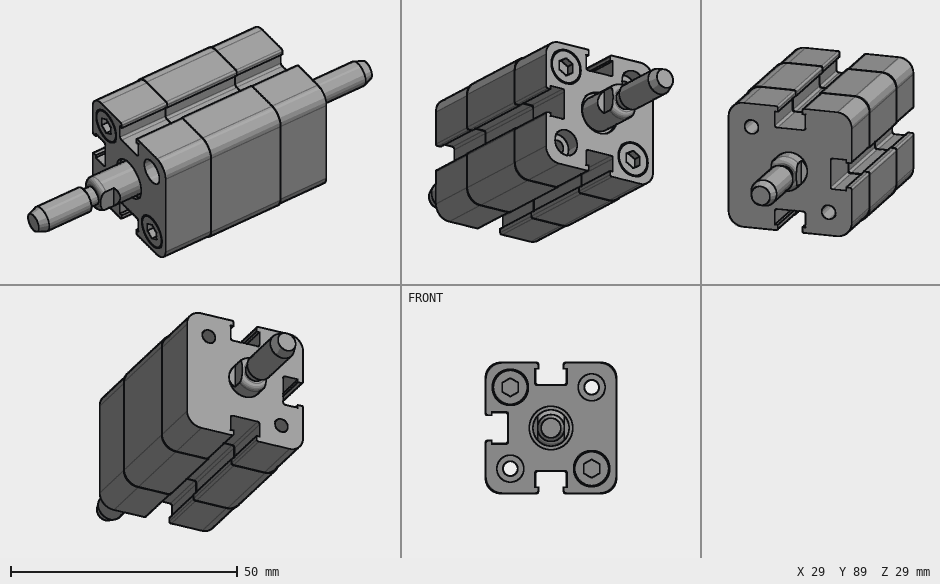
import cadquery as cq
total_length = 89.0
front_face_y = -19.0
mid_front_y = -6.85
mid_back_y = 11.75
back_face_y = 24.0

tube_width = 29.0
cap_width = 28.75
corner_radius = 3.5

cap_slot_floor = 9.4
tube_slot_floor = 9.5
lip_bottom = 13.1
cap_lip_half_gap = 2.85
tube_lip_half_gap = 2.8
mouth_half_width = 3.3
cap_slot_half_width = 3.6
tube_slot_half_width = 3.4
floor_rounding = 0.5
slot_angles = (0, 90, 180)

bolt_offset = 9.0
head_bore_diameter = 8.0
head_diameter = 7.5
head_height = 4.0
hex_corner_diameter = 4.1
hex_depth = 2.0
counterbore_diameter = 6.0
counterbore_depth = 3.4
through_diameter = 3.2

rod_diameter = 8.0
rod_front_y = -28.6
rod_back_y = 28.6
rod_end_fillet = 1.3
flat_width = 6.0
flat_length = 3.6
run_out_length = 1.0
stud_diameter = 6.0
neck_diameter = 4.4
neck_length = 2.4
neck_taper_length = 0.4
tip_length = 2.2
bearing_diameter = 9.6
bearing_depth = 0.9


def front_plane(y):
    """XZ sketch plane at the given Y, facing -Y; negative extrusion runs toward +Y."""
    return cq.Workplane(cq.Plane((0, y, 0), xDir=(1, 0, 0), normal=(0, -1, 0)))


def slot_cutter(start_y, end_y, crest, slot_floor, half_width, lip_half_gap):
    """Top T-slot with rounded floor corners and rounded lip edges."""
    length = end_y - start_y
    outside = tube_width
    r = floor_rounding
    mouth = mouth_half_width
    lip_rounding = mouth - lip_half_gap
    outline = (
        front_plane(start_y)
        .moveTo(-half_width + r, slot_floor)
        .lineTo(half_width - r, slot_floor)
        .radiusArc((half_width, slot_floor + r), -r)
        .lineTo(half_width, lip_bottom)
        .lineTo(lip_half_gap, lip_bottom)
        .lineTo(lip_half_gap, crest - lip_rounding)
        .radiusArc((mouth, crest), lip_rounding)
        .lineTo(mouth, outside)
        .lineTo(-mouth, outside)
        .lineTo(-mouth, crest)
        .radiusArc((-lip_half_gap, crest - lip_rounding), lip_rounding)
        .lineTo(-lip_half_gap, lip_bottom)
        .lineTo(-half_width, lip_bottom)
        .lineTo(-half_width, slot_floor + r)
        .radiusArc((-half_width + r, slot_floor), -r)
        .close()
    )
    return outline.extrude(-length)


def body_section(start_y, end_y, width, slot_floor, slot_half_width, lip_half_gap):
    """One length of the square body with its slots."""
    section = front_plane(start_y).rect(width, width).extrude(start_y - end_y)
    section = section.edges("|Y").fillet(corner_radius)
    cutter = slot_cutter(start_y, end_y, width / 2, slot_floor, slot_half_width, lip_half_gap)
    for angle in slot_angles:
        section = section.cut(cutter.rotate((0, 0, 0), (0, 1, 0), -angle))
    return section


def socket_screw_cut(x, z):
    """Gap around a flush screw head and the hexagon socket in it."""
    gap = (
        front_plane(front_face_y).center(x, z)
        .circle(head_bore_diameter / 2).circle(head_diameter / 2).extrude(-head_height)
    )
    socket = (
        front_plane(front_face_y).center(x, z).transformed(rotate=(0, 0, 90))
        .polygon(6, hex_corner_diameter).extrude(-hex_depth)
    )
    return gap.union(socket)


def mounting_hole(x, z):
    """Through hole counterbored at the front."""
    through = (
        front_plane(front_face_y).center(x, z)
        .circle(through_diameter / 2).extrude(front_face_y - back_face_y)
    )
    counterbore = (
        front_plane(front_face_y).center(x, z)
        .circle(counterbore_diameter / 2).extrude(-counterbore_depth)
    )
    return through.union(counterbore)


def rod_end(shoulder_length, stud_length):
    """Rod from the body centre toward -Y: flatted shoulder, neck, stud and tapered tip."""
    shoulder = front_plane(0).circle(rod_diameter / 2).extrude(shoulder_length)
    shoulder = shoulder.faces("<Y").edges().fillet(rod_end_fillet)

    half_flat = flat_width / 2
    flat_end = flat_length - shoulder_length
    for side in (-1, 1):
        flat = (
            cq.Workplane("XY")
            .moveTo(side * half_flat, -shoulder_length)
            .lineTo(side * half_flat, flat_end)
            .lineTo(side * rod_diameter / 2, flat_end + run_out_length)
            .lineTo(side * rod_diameter / 2, -shoulder_length)
            .close()
            .extrude(rod_diameter, both=True)
        )
        shoulder = shoulder.cut(flat)

    neck_radius = neck_diameter / 2
    stud_radius = stud_diameter / 2
    stud_end = -shoulder_length - stud_length
    stud_start = -shoulder_length - neck_length
    stud = (
        cq.Workplane("XY")
        .moveTo(0, -shoulder_length)
        .lineTo(neck_radius, -shoulder_length)
        .lineTo(neck_radius, stud_start + neck_taper_length)
        .lineTo(stud_radius, stud_start)
        .lineTo(stud_radius, stud_end + tip_length)
        .lineTo(neck_radius, stud_end)
        .lineTo(0, stud_end)
        .close()
        .revolve(360, (0, 0, 0), (0, 1, 0))
    )
    return shoulder.union(stud)


front_cap = body_section(
    front_face_y, mid_front_y, cap_width, cap_slot_floor, cap_slot_half_width, cap_lip_half_gap
)
tube = body_section(
    mid_front_y, mid_back_y, tube_width, tube_slot_floor, tube_slot_half_width, tube_lip_half_gap
)
back_cap = body_section(
    mid_back_y, back_face_y, cap_width, cap_slot_floor, cap_slot_half_width, cap_lip_half_gap
)
body = front_cap.union(tube).union(back_cap)

for side in (-1, 1):
    body = body.cut(socket_screw_cut(side * bolt_offset, -side * bolt_offset))
    body = body.cut(mounting_hole(side * bolt_offset, side * bolt_offset))

body = body.cut(front_plane(front_face_y).circle(bearing_diameter / 2).extrude(-bearing_depth))

front_rod = rod_end(-rod_front_y, total_length / 2 + rod_front_y)
back_rod = rod_end(rod_back_y, total_length / 2 - rod_back_y).mirror("XZ")
result = body.union(front_rod).union(back_rod)